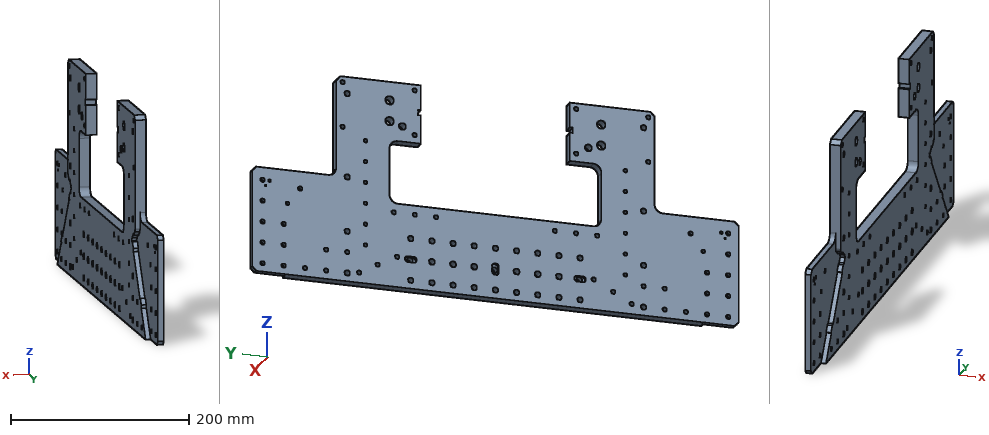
import cadquery as cq
import math

length = 575.0
height = 245.0
thickness = 12.5
face_x = -thickness / 2
wing_thickness = 7.0

pitch = length / 23
wing_top = 5 * pitch
slot_floor = 4 * pitch
arm_underside = 7 * pitch

arm_outer = 188.0
arm_tip = 88.0
slot_half_width = 5 * pitch
slot_radius = 10.0
shoulder_radius = 10.0
corner_chamfer = 5.0
tip_notch_height = 212.0
tip_notch_width = 6.5
tip_notch_depth = 3.5

slope_foot = 247.0
slope_normal_angle = 37.8
step_top = 116.0

tooth_height = 2.0
tooth_crest = 8.5
tooth_ramp = 3.0
tooth_length = tooth_crest + tooth_ramp
slope_teeth = (36.0, 108.0)
left_wing_shift = 4.0

pin_hole = 3.0
fine_hole = 4.0
small_hole = 4.95
grid_hole = 6.5
locating_hole = 7.0
post_hole = 8.0
large_hole = 10.0
marker_hole = 2.0

slot_length = 14.0
slot_depth = 3.5

first_row = 0.4 * pitch
arm_column = 153.5
arm_column_foot = 46.0
arm_column_count = 6
slot_edge_row = 89.0
slot_edge_start = 70.0
arm_corner_columns = (180.5, 95.5)
arm_corner_rows = (238.0, 184.5)
lower_large_hole = 198.0
post_place = (110.0, 193.0)
slanted_places = [(116.0, 36.0), (139.0, 24.0), (161.0, 12.0)]
wing_small_place = (230.5, 104.5)
wing_fine_place = (245.5, 85.0)
pin_place = (267.0, 110.0)
marker_place = (271.5, 103.5)


def row(number):
    return first_row + number * pitch


def prism(points, x_start, depth):
    return cq.Workplane("YZ").workplane(offset=x_start).polyline(points).close().extrude(depth)


def edges_at(solid, y, z):
    reach = 0.5
    low = (-thickness, y - reach, z - reach)
    high = (thickness, y + reach, z + reach)
    return solid.edges(cq.selectors.BoxSelector(low, high)).edges("|X")


def half_plate():
    """The +Y half of the plate at full thickness."""
    end = length / 2
    outline = [
        (0, 0), (end, 0), (end, wing_top), (arm_outer, wing_top), (arm_outer, height),
        (arm_tip, height), (arm_tip, arm_underside), (slot_half_width, arm_underside),
        (slot_half_width, slot_floor), (0, slot_floor),
    ]
    half = prism(outline, face_x, thickness)
    for y, z in ((end, 0), (end, wing_top), (arm_outer, height)):
        half = edges_at(half, y, z).chamfer(corner_chamfer)
    for z in (slot_floor, arm_underside):
        half = edges_at(half, slot_half_width, z).fillet(slot_radius)
    half = edges_at(half, arm_outer, wing_top).fillet(shoulder_radius)
    notch = cq.Workplane("XY").box(thickness, 2 * tip_notch_depth, tip_notch_width)
    return half.cut(notch.translate((0, arm_tip, tip_notch_height)))


def tooth(start, ramp_first):
    """Tooth outline as (distance along the edge, height above the edge)."""
    crest_start = start + (tooth_ramp if ramp_first else 0)
    return [
        (start, 0), (crest_start, tooth_height),
        (crest_start + tooth_crest, tooth_height), (start + tooth_length, 0),
    ]


def wing_relief(ramp_first, shift):
    """Region cut away behind the +Y wing."""
    angle = math.radians(slope_normal_angle)
    out_y, out_z = math.cos(angle), math.sin(angle)
    slope_length = (slope_foot - arm_outer) * out_z + step_top * out_y
    step_length = (arm_outer - slope_foot) * out_y + step_top * out_z

    def place(along, out):
        return (slope_foot - along * out_z + out * out_y, along * out_y + out * out_z)

    outline = [place(0, 0)]
    for start in slope_teeth:
        outline += [place(along, out) for along, out in tooth(start + shift, ramp_first)]
    outline += [place(slope_length - tooth_height, 0), place(slope_length, tooth_ramp)]
    last_tooth = tooth(step_length - tooth_length, ramp_first=False)
    outline += [place(slope_length - rise, along) for along, rise in last_tooth]
    outline += [(arm_outer, height), (length, height), (length, 0)]
    return prism(outline, face_x + wing_thickness, thickness - wing_thickness)


def drill(diameter, places):
    """Through holes, repeated on both sides of the centre line."""
    sketch = cq.Workplane("YZ").workplane(offset=face_x)
    drills = sketch.pushPoints(places).circle(diameter / 2).extrude(thickness)
    return drills.union(drills.mirror("XZ"))


def face_slot(y, width, angle):
    """Shallow slot in the face, centred on a hole of the middle grid row."""
    sketch = cq.Workplane("YZ").workplane(offset=face_x)
    return sketch.center(y, row(1)).slot2D(slot_length, width, angle).extrude(slot_depth)


def small_places():
    wing_edge = [(11 * pitch, row(i)) for i in range(5)]
    wing_inner = [(10 * pitch, row(i)) for i in range(3)]
    wing_foot = [(9 * pitch, row(0)), (8 * pitch, row(0)), (8 * pitch, row(1)), (7 * pitch, row(1))]
    slot_edge = [(slot_edge_start + i * pitch, slot_edge_row) for i in range(3)]
    arm_corners = [(y, z) for y in arm_corner_columns for z in arm_corner_rows]
    wing = wing_edge + wing_inner + wing_foot + [wing_small_place]
    return wing + slot_edge + arm_corners + slanted_places


def grid_places():
    centre = [(i * pitch, row(j)) for i in range(5) for j in (0, 2)]
    arm = [(7 * pitch, z) for z in (row(0), row(2), 5 * pitch, 9 * pitch)]
    return centre + arm


holes = [
    (small_hole, small_places()),
    (grid_hole, grid_places()),
    (locating_hole, [(i * pitch, row(1)) for i in range(5)]),
    (fine_hole, [(arm_column, arm_column_foot + i * pitch) for i in range(arm_column_count)]),
    (fine_hole, [wing_fine_place]),
    (large_hole, [(5 * pitch, lower_large_hole + i * pitch) for i in range(2)]),
    (post_hole, [post_place]),
    (pin_hole, [pin_place]),
    (marker_hole, [marker_place]),
]

half = half_plate()
result = half.union(half.mirror("XZ"))

result = result.cut(wing_relief(ramp_first=True, shift=left_wing_shift))
result = result.cut(wing_relief(ramp_first=False, shift=0).mirror("XZ"))

for diameter, places in holes:
    result = result.cut(drill(diameter, places))

result = result.cut(face_slot(0, post_hole, 90))
for side in (-1, 1):
    result = result.cut(face_slot(side * 4 * pitch, locating_hole, 0))